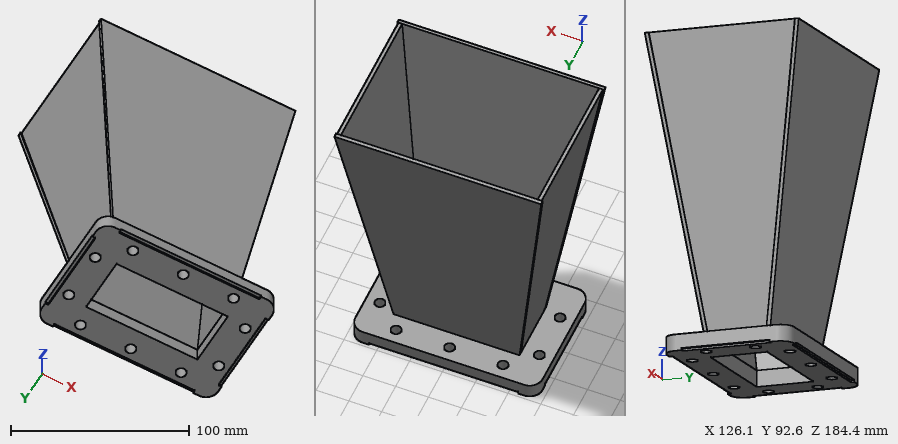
import cadquery as cq
import math

flange_length = 114.3
flange_width = 76.2
flange_thickness = 9.525
flange_corner_radius = 7.92
opening_length = 72.14
opening_width = 34.04

hole_diameter = 6.2
long_side_pitch = 32.6
long_side_offset = 29.4
short_side_pitch = 29.6
short_side_offset = 48.6

relief_height = 1.27
relief_depth = 2.0
relief_end_margin = 11.7

total_height = 184.4
wall_thickness = 2.33
mouth_inner_length = 120.0
mouth_width = 92.64
broad_rim_drop = 0.24
broad_wall_top_length = 126.14
broad_wall_base_length = opening_length + 2 * wall_thickness

horn_height = total_height - flange_thickness
mouth_inner_width = mouth_width - 2 * wall_thickness
broad_wall_angle = math.atan2((mouth_inner_width - opening_width) / 2, horn_height)
side_wall_angle = math.atan2((mouth_inner_length - opening_length) / 2, horn_height)
trim_length = 2 * broad_wall_top_length


def box_on_base(length, width, height, x=0, y=0):
    """Box standing on Z = 0, centred on (x, y)."""
    return cq.Workplane("XY").center(x, y).rect(length, width).extrude(height)


def symmetric_trapezoid(plane, base_length, top_length):
    """Prism through the whole horn, whose outline runs from the flange top to the mouth."""
    outline = [
        (-base_length / 2, flange_thickness),
        (base_length / 2, flange_thickness),
        (top_length / 2, total_height),
        (-top_length / 2, total_height),
    ]
    return cq.Workplane(plane).polyline(outline).close().extrude(trim_length / 2, both=True)


def bolt_hole_points():
    points = []
    for side in (-1, 1):
        for step in (-1, 0, 1):
            points.append((step * long_side_pitch, side * long_side_offset))
        for step in (-0.5, 0.5):
            points.append((side * short_side_offset, step * short_side_pitch))
    return points


def make_flange():
    flange = box_on_base(flange_length, flange_width, flange_thickness)
    flange = flange.edges("|Z").fillet(flange_corner_radius)
    flange = flange.cut(box_on_base(opening_length, opening_width, flange_thickness))

    holes = cq.Workplane("XY").pushPoints(bolt_hole_points()).circle(hole_diameter / 2)
    flange = flange.cut(holes.extrude(flange_thickness))

    long_relief = flange_length - 2 * relief_end_margin
    short_relief = flange_width - 2 * relief_end_margin
    for side in (-1, 1):
        relief_x = side * (flange_length - relief_depth) / 2
        relief_y = side * (flange_width - relief_depth) / 2
        flange = flange.cut(box_on_base(long_relief, relief_depth, relief_height, y=relief_y))
        flange = flange.cut(box_on_base(relief_depth, short_relief, relief_height, x=relief_x))
    return flange


def make_broad_wall(side):
    """Wall on the -Y or +Y side, with a level foot and a rim that falls outward."""
    inner_foot = opening_width / 2
    outer_foot = inner_foot + wall_thickness / math.cos(broad_wall_angle)
    inner_rim = mouth_inner_width / 2
    outer_rim = mouth_width / 2
    outer_rim_height = total_height - broad_rim_drop
    section = [
        (side * inner_foot, flange_thickness),
        (side * outer_foot, flange_thickness),
        (side * outer_rim, outer_rim_height),
        (side * inner_rim, total_height),
    ]
    sheet = cq.Workplane("YZ").polyline(section).close().extrude(trim_length / 2, both=True)
    return sheet.intersect(symmetric_trapezoid("XZ", broad_wall_base_length, broad_wall_top_length))


def make_side_wall(side):
    """Wall on the -X or +X side, fitted between the broad walls, with a level rim."""
    level_thickness = wall_thickness / math.cos(side_wall_angle)
    inner_foot = opening_length / 2
    inner_rim = mouth_inner_length / 2
    section = [
        (side * inner_foot, flange_thickness),
        (side * (inner_foot + level_thickness), flange_thickness),
        (side * (inner_rim + level_thickness), total_height),
        (side * inner_rim, total_height),
    ]
    sheet = cq.Workplane("XZ").polyline(section).close().extrude(trim_length / 2, both=True)
    return sheet.intersect(symmetric_trapezoid("YZ", opening_width, mouth_inner_width))


flange = make_flange()
broad_walls = [make_broad_wall(side) for side in (-1, 1)]
side_walls = [make_side_wall(side) for side in (-1, 1)]

result = cq.Compound.makeCompound(
    [flange.val()] + [wall.val() for wall in broad_walls + side_walls]
)